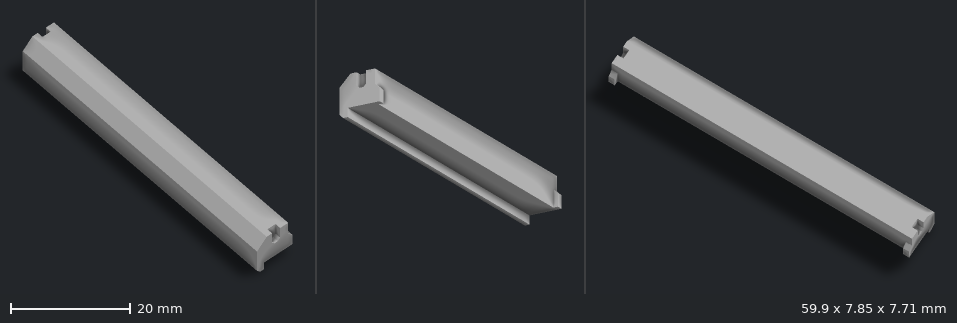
import cadquery as cq

length = 59.9
width = 7.85
height = 7.71

lip_height = 1.65
lip_width = 1.6
lip_chamfer = 0.7
bevel_size = 2.15
ledge_depth = 0.9
ledge_drop = 2.75

end_depth = 1.2
slot_width = 1.8
slot_depth = 2.9
slot_chamfer = 0.5
slot_center_from_back = 3.6

front = -width / 2
back = width / 2
bottom = -height / 2
top = height / 2
rear_wall = back - ledge_depth
slot_center = back - slot_center_from_back


def bar_body():
    """Bar with a bevelled front, a lip below the front and a plain rear wall."""
    lip_top = bottom + lip_height
    outline = [
        (front + lip_chamfer, bottom),
        (front + lip_width, bottom),
        (front + lip_width, lip_top),
        (rear_wall, lip_top),
        (rear_wall, top),
        (front + bevel_size, top),
        (front, top - bevel_size),
        (front, bottom + lip_chamfer),
    ]
    return cq.Workplane("YZ").polyline(outline).close().extrude(length / 2, both=True)


def end_block(outline, x_start):
    """Prism of one end feature's YZ outline, reaching end_depth along +X."""
    return cq.Workplane("YZ", origin=(x_start, 0, 0)).polyline(outline).close().extrude(end_depth)


def ear_outline():
    """Ear standing out behind the rear wall, with a sloped top; it overlaps the bar to join it."""
    ear_bottom = bottom + lip_height
    ear_top = top - ledge_drop
    return [
        (rear_wall - ledge_depth, ear_bottom),
        (back, ear_bottom),
        (back, ear_top - ledge_depth),
        (rear_wall, ear_top),
        (rear_wall - ledge_depth, ear_top),
    ]


def slot_outline():
    """Slot open at the top, with chamfered bottom corners."""
    half_width = slot_width / 2
    slot_floor = top - slot_depth
    return [
        (slot_center - half_width, top),
        (slot_center - half_width, slot_floor + slot_chamfer),
        (slot_center - half_width + slot_chamfer, slot_floor),
        (slot_center + half_width - slot_chamfer, slot_floor),
        (slot_center + half_width, slot_floor + slot_chamfer),
        (slot_center + half_width, top),
    ]


result = bar_body()
for x_start in (-length / 2, length / 2 - end_depth):
    result = result.union(end_block(ear_outline(), x_start))
    result = result.cut(end_block(slot_outline(), x_start))